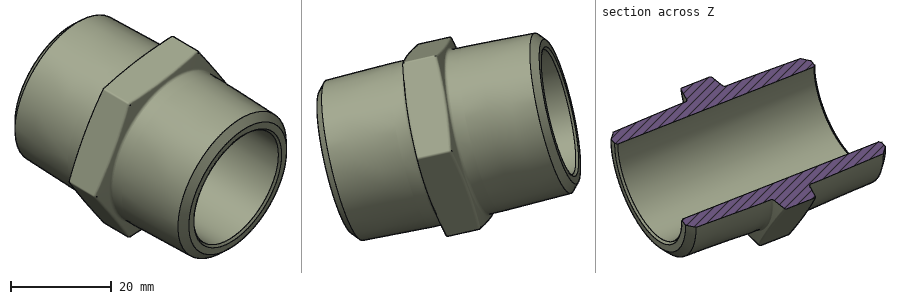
import cadquery as cq
import math

length = 46.0
half_length = length / 2

body_radius = 33.6 / 2
straight_half = 7.15
taper_slope = 1 / 32
end_chamfer_length = 1.45
end_chamfer_height = 1.6

bore_radius = 25.5 / 2
bore_chamfer = 0.45

across_flats = 36.0
corner_radius = across_flats / 2 / math.cos(math.radians(30))
flank_angle = math.radians(10)
flank_foot_half_width = 4.25
edge_fillet = 0.5


def revolve_about_x(right_half):
    """Mirror the +X half of an outline, given from the axis outwards, and revolve it."""
    points = [(-x, r) for x, r in right_half] + list(reversed(right_half))
    outline = cq.Workplane("XY").polyline(points).close()
    return outline.revolve(360, (0, 0, 0), (1, 0, 0))


def make_body():
    """Solid spindle: straight middle, tapered ends, chamfered tips."""
    taper_end = half_length - end_chamfer_length
    taper_end_radius = body_radius - (taper_end - straight_half) * taper_slope
    tip_radius = taper_end_radius - end_chamfer_height
    return revolve_about_x([
        (half_length, 0),
        (half_length, tip_radius),
        (taper_end, taper_end_radius),
        (straight_half, body_radius),
    ])


def make_collar():
    """Hexagon with flats facing +Z and -Z, conical flanks and rounded edges."""
    flank_slope = math.tan(flank_angle)
    axis_half_width = flank_foot_half_width + body_radius * flank_slope
    rim_half_width = axis_half_width - corner_radius * flank_slope
    hexagon = (
        cq.Workplane("YZ")
        .polygon(6, 2 * corner_radius)
        .extrude(axis_half_width, both=True)
        .edges("|X")
        .fillet(edge_fillet)
    )
    double_cone = revolve_about_x([
        (axis_half_width, 0),
        (rim_half_width, corner_radius),
    ])
    collar = hexagon.intersect(double_cone)
    return collar.faces("%CONE").edges().fillet(edge_fillet)


def make_bore():
    """Through bore with a chamfered mouth at each end."""
    return revolve_about_x([
        (half_length, 0),
        (half_length, bore_radius + bore_chamfer),
        (half_length - bore_chamfer, bore_radius),
    ])


def fillet_collar_roots(solid):
    """Round the two circular corners where the collar flanks meet the body."""
    box_x = (flank_foot_half_width + straight_half) / 2
    box_r = (body_radius + across_flats / 2) / 2
    root_edges = cq.selectors.BoxSelector(
        (-box_x, -box_r, -box_r),
        (box_x, box_r, box_r),
        boundingbox=True,
    )
    return solid.edges(root_edges).fillet(edge_fillet)


outer_shape = fillet_collar_roots(make_body().union(make_collar()))
result = outer_shape.cut(make_bore())